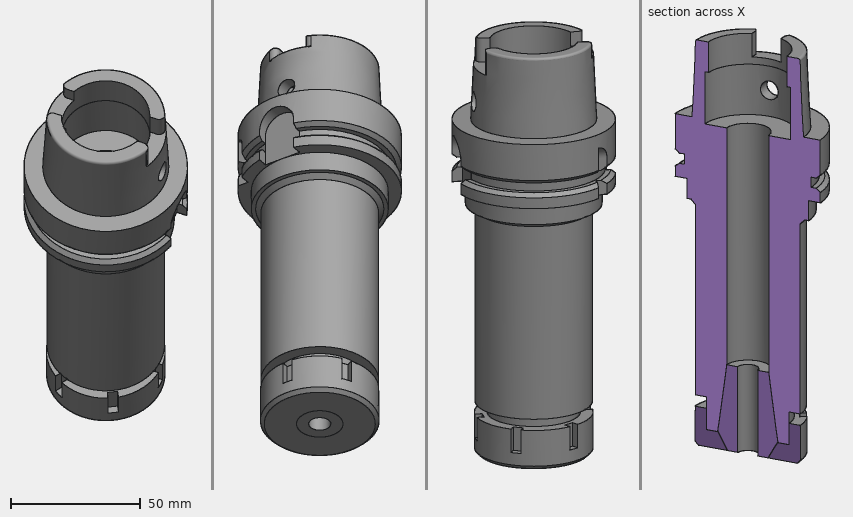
import cadquery as cq
import math

TOTAL_HEIGHT = 167.0
TAPER_LENGTH = 32.0
FLANGE_WIDTH = 26.0
FLANGE_TOP = TOTAL_HEIGHT - TAPER_LENGTH
FLANGE_BOTTOM = FLANGE_TOP - FLANGE_WIDTH
COLLAR_BOTTOM = 100.8
COLLAR_CHAMFER = 2.0
SHANK_BOTTOM = 20.5
NUT_HEIGHT = 16.0
NOSE_BOTTOM = 7.0

TAPER_BASE_RADIUS = 24.3
TAPER_TIP_RADIUS = 22.8
TAPER_TIP_ROUND = 1.1
BORE_RADIUS = 17.0
UNDERCUT_RADIUS = 18.5
BORE_LENGTH = 12.7
BORE_FLOOR = FLANGE_TOP - 2.0
CROSS_HOLE_DIAMETER = 7.6
CROSS_HOLE_HEIGHT = FLANGE_TOP + 8.7

NOTCH_WIDTH = 12.5
NOTCH_EDGE_ROUND = 2.3
SHALLOW_NOTCH_DEPTH = 5.7
DEEP_NOTCH_DEPTH = 9.7

FLANGE_RADIUS = 31.5
GROOVE_CENTRE = FLANGE_TOP - 18.13
GROOVE_MOUTH_WIDTH = 7.0
GROOVE_FLOOR_WIDTH = 4.0
GROOVE_RADIUS = 27.6
GROOVE_CHAMFER_HEIGHT = (GROOVE_MOUTH_WIDTH - GROOVE_FLOOR_WIDTH) / 2
GROOVE_CHAMFER_SLOPE = math.radians(50)
GROOVE_SHOULDER_RADIUS = FLANGE_RADIUS - GROOVE_CHAMFER_HEIGHT * math.tan(GROOVE_CHAMFER_SLOPE)
COLLAR_RADIUS = 26.4
DRIVE_SLOT_RADIUS = 7.8
DRIVE_SLOT_TOP = FLANGE_TOP - 4.9
DRIVE_SLOT_FLOOR = COLLAR_RADIUS
INDEX_NOTCH_RADIUS = 5.8
INDEX_NOTCH_TOP = FLANGE_TOP - 5.3
INDEX_NOTCH_INNER_Y = 19.9
INDEX_NOTCH_FLOOR = 20.2

SHANK_RADIUS = 22.7
NOSE_RADIUS = 18.0

COLLET_BORE_RADIUS = 4.25
COLLET_TOP_RADIUS = 9.0
COLLET_MAX_RADIUS = 13.0
COLLET_SLOPE = math.radians(8)
COLLET_NOSE_SLOPE = math.radians(30)
COLLET_TOP = NOSE_BOTTOM + (COLLET_MAX_RADIUS - COLLET_TOP_RADIUS) / math.tan(COLLET_SLOPE)
COLLET_FACE_RADIUS = COLLET_MAX_RADIUS - NOSE_BOTTOM * math.tan(COLLET_NOSE_SLOPE)

NUT_RADIUS = 22.9
NUT_CHAMFER = 1.5
NUT_SLOT_COUNT = 6
NUT_SLOT_WIDTH = 4.0
NUT_SLOT_BOTTOM = 6.5
NUT_SLOT_FLOOR = 20.0


def revolve_profile(points):
    """Revolve a closed (radius, height) outline about the Z axis."""
    return cq.Workplane("XZ").polyline(points).close().revolve(360, (0, 0, 0), (0, 1, 0))


def holder_blank():
    mouth_half = GROOVE_MOUTH_WIDTH / 2
    floor_half = GROOVE_FLOOR_WIDTH / 2
    bore_end = TOTAL_HEIGHT - BORE_LENGTH
    return revolve_profile([
        (COLLET_MAX_RADIUS, NOSE_BOTTOM),
        (NOSE_RADIUS, NOSE_BOTTOM),
        (NOSE_RADIUS, SHANK_BOTTOM),
        (SHANK_RADIUS, SHANK_BOTTOM),
        (SHANK_RADIUS, COLLAR_BOTTOM - COLLAR_CHAMFER),
        (SHANK_RADIUS + COLLAR_CHAMFER, COLLAR_BOTTOM),
        (COLLAR_RADIUS, COLLAR_BOTTOM),
        (COLLAR_RADIUS, FLANGE_BOTTOM),
        (FLANGE_RADIUS, FLANGE_BOTTOM),
        (FLANGE_RADIUS, GROOVE_CENTRE - mouth_half),
        (GROOVE_SHOULDER_RADIUS, GROOVE_CENTRE - floor_half),
        (GROOVE_RADIUS, GROOVE_CENTRE - floor_half),
        (GROOVE_RADIUS, GROOVE_CENTRE + floor_half),
        (GROOVE_SHOULDER_RADIUS, GROOVE_CENTRE + floor_half),
        (FLANGE_RADIUS, GROOVE_CENTRE + mouth_half),
        (FLANGE_RADIUS, FLANGE_TOP),
        (TAPER_BASE_RADIUS, FLANGE_TOP),
        (TAPER_TIP_RADIUS, TOTAL_HEIGHT),
        (BORE_RADIUS, TOTAL_HEIGHT),
        (BORE_RADIUS, bore_end),
        (UNDERCUT_RADIUS, bore_end),
        (UNDERCUT_RADIUS, BORE_FLOOR),
        (COLLET_TOP_RADIUS, BORE_FLOOR),
        (COLLET_TOP_RADIUS, COLLET_TOP),
    ])


def tip_notch(side, depth):
    """Drive notch through the taper wall on the -X (side = -1) or +X (side = 1) side.

    Each flank turns through a round corner and blends tangentially into the outside of the taper tip.
    """
    half_width = NOTCH_WIDTH / 2
    corner_y = half_width + NOTCH_EDGE_ROUND
    corner_distance = TAPER_TIP_RADIUS - NOTCH_EDGE_ROUND
    corner_angle = math.asin(corner_y / corner_distance)
    corner_x = corner_distance * math.cos(corner_angle)
    middle_angle = (corner_angle - math.pi / 2) / 2
    middle_x = corner_x + NOTCH_EDGE_ROUND * math.cos(middle_angle)
    middle_y = corner_y + NOTCH_EDGE_ROUND * math.sin(middle_angle)
    end_x = TAPER_TIP_RADIUS * math.cos(corner_angle)
    end_y = TAPER_TIP_RADIUS * math.sin(corner_angle)
    return (
        cq.Workplane("XY", origin=(0, 0, TOTAL_HEIGHT - depth))
        .moveTo(0, -half_width)
        .lineTo(side * corner_x, -half_width)
        .threePointArc((side * middle_x, -middle_y), (side * end_x, -end_y))
        .lineTo(side * FLANGE_RADIUS, -end_y)
        .lineTo(side * FLANGE_RADIUS, end_y)
        .lineTo(side * end_x, end_y)
        .threePointArc((side * middle_x, middle_y), (side * corner_x, half_width))
        .lineTo(0, half_width)
        .close()
        .extrude(depth)
    )


def round_ended_slot(centre_y, radius, top, floor, side):
    """Slot with a round upper end, cut from one X side down to a flat floor at |x| = floor."""
    centre_z = top - radius
    return (
        cq.Workplane("YZ", origin=(side * floor, 0, 0))
        .moveTo(centre_y - radius, FLANGE_BOTTOM)
        .lineTo(centre_y - radius, centre_z)
        .threePointArc((centre_y, top), (centre_y + radius, centre_z))
        .lineTo(centre_y + radius, FLANGE_BOTTOM)
        .close()
        .extrude(side * FLANGE_RADIUS)
    )


def make_holder():
    holder = holder_blank()
    tip_rim = cq.selectors.RadiusNthSelector(-1)
    holder = holder.faces(">Z").edges(tip_rim).fillet(TAPER_TIP_ROUND)
    holder = holder.cut(tip_notch(-1, SHALLOW_NOTCH_DEPTH))
    holder = holder.cut(tip_notch(1, DEEP_NOTCH_DEPTH))

    cross_hole = (
        cq.Workplane("YZ", origin=(-FLANGE_RADIUS, 0, CROSS_HOLE_HEIGHT))
        .circle(CROSS_HOLE_DIAMETER / 2)
        .extrude(2 * FLANGE_RADIUS)
    )
    holder = holder.cut(cross_hole)

    for side in (-1, 1):
        holder = holder.cut(
            round_ended_slot(0, DRIVE_SLOT_RADIUS, DRIVE_SLOT_TOP, DRIVE_SLOT_FLOOR, side)
        )
    index_notch_y = INDEX_NOTCH_INNER_Y + INDEX_NOTCH_RADIUS
    return holder.cut(
        round_ended_slot(index_notch_y, INDEX_NOTCH_RADIUS, INDEX_NOTCH_TOP, INDEX_NOTCH_FLOOR, -1)
    )


def make_collet():
    return revolve_profile([
        (COLLET_BORE_RADIUS, 0),
        (COLLET_FACE_RADIUS, 0),
        (COLLET_MAX_RADIUS, NOSE_BOTTOM),
        (COLLET_TOP_RADIUS, COLLET_TOP),
        (COLLET_BORE_RADIUS, COLLET_TOP),
    ])


def make_nut():
    nut = revolve_profile([
        (COLLET_FACE_RADIUS, 0),
        (NUT_RADIUS - NUT_CHAMFER, 0),
        (NUT_RADIUS, NUT_CHAMFER),
        (NUT_RADIUS, NUT_HEIGHT),
        (NOSE_RADIUS, NUT_HEIGHT),
        (NOSE_RADIUS, NOSE_BOTTOM),
        (COLLET_MAX_RADIUS, NOSE_BOTTOM),
    ])
    slot_height = NUT_HEIGHT - NUT_SLOT_BOTTOM
    wrench_slot = cq.Workplane("XY").box(
        NUT_RADIUS, NUT_SLOT_WIDTH, slot_height, centered=(False, True, False)
    ).translate((NUT_SLOT_FLOOR, 0, NUT_SLOT_BOTTOM))
    for index in range(NUT_SLOT_COUNT):
        angle = index * 360 / NUT_SLOT_COUNT
        nut = nut.cut(wrench_slot.rotate((0, 0, 0), (0, 0, 1), angle))
    return nut


holder = make_holder()
collet = make_collet()
nut = make_nut()

result = cq.Compound.makeCompound([holder.val(), collet.val(), nut.val()])